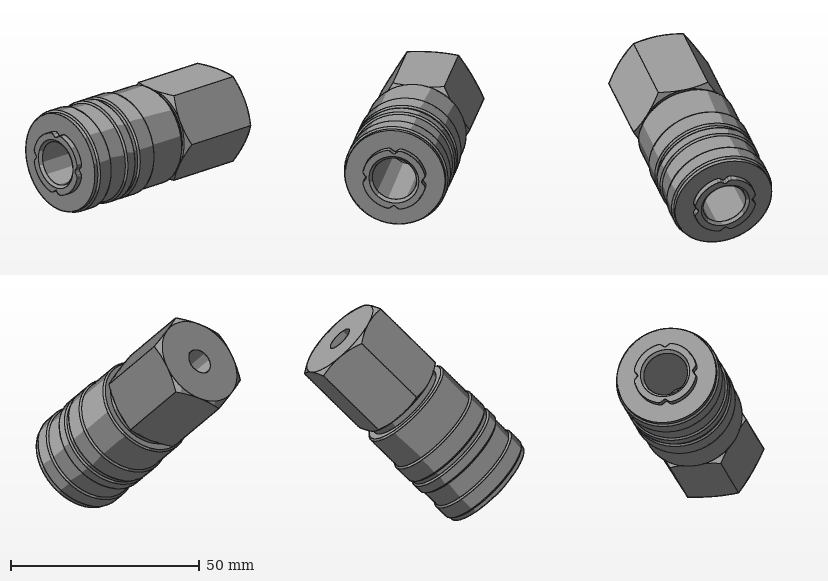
import cadquery as cq
import math

length = 59.0

nose_length = 1.65
sleeve_end = 33.65
sleeve_radius = 13.5
sleeve_chamfer = 0.5
band_diameter = 28.0
band_radius = band_diameter / 2
band_ramp = 0.5
bands = [(2.8, 7.6), (12.75, 16.2), (17.2, 23.1)]

neck_radius = 11.3
hex_sides = 6
hex_start = 35.45
hex_across_flats = 24.0
hex_chamfer_angle = 30.0

nose_radius = 8.55
notch_count = 4
notch_floor_radius = 7.4
notch_slope = 38.0
notch_corner_radius = 1.05
notch_root_radius = 0.5

bore_radius = 5.95
bore_depth = 24.8
bore_chamfer = 0.75
through_radius = 3.5


def turned(points):
    """Revolve a closed outline of (radius, station) points about the part axis."""
    front = -length / 2
    outline = cq.Workplane("XY").polyline([(r, front + s) for r, s in points]).close()
    return outline.revolve(360, (0, 0, 0), (0, 1, 0))


def cross_plane(station):
    """Workplane across the axis at a station, with its normal toward +Y."""
    return cq.Workplane(
        cq.Plane(origin=(0, station - length / 2, 0), xDir=(1, 0, 0), normal=(0, 1, 0))
    )


def axis_distance(edge):
    """Distance from the part axis to the middle of an edge."""
    return math.hypot(edge.Center().x, edge.Center().z)


def make_sleeve():
    points = [(0, nose_length), (sleeve_radius, nose_length)]
    for start, end in bands:
        points += [
            (sleeve_radius, start),
            (band_radius, start + band_ramp),
            (band_radius, end - band_ramp),
            (sleeve_radius, end),
        ]
    points += [
        (sleeve_radius, sleeve_end - sleeve_chamfer),
        (sleeve_radius - sleeve_chamfer, sleeve_end),
        (neck_radius, sleeve_end),
        (neck_radius, hex_start),
        (0, hex_start),
    ]
    return turned(points)


def make_hexagon():
    corner_radius = hex_across_flats / 2 / math.cos(math.pi / hex_sides)
    flat_radius = hex_across_flats / 2
    prism = cross_plane(hex_start).polygon(hex_sides, 2 * corner_radius).extrude(length - hex_start)
    chamfer_length = (corner_radius - flat_radius) * math.tan(math.radians(hex_chamfer_angle))
    envelope = turned([
        (0, hex_start),
        (flat_radius, hex_start),
        (corner_radius, hex_start + chamfer_length),
        (corner_radius, length - chamfer_length),
        (flat_radius, length),
        (0, length),
    ])
    return prism.intersect(envelope)


def make_nose():
    nose = cross_plane(0).circle(nose_radius).extrude(nose_length)
    cutter_height = nose_radius
    half_width = cutter_height / math.tan(math.radians(notch_slope))
    cutter = (
        cross_plane(0)
        .polyline([
            (notch_floor_radius, 0),
            (notch_floor_radius + cutter_height, half_width),
            (notch_floor_radius + cutter_height, -half_width),
        ])
        .close()
        .extrude(nose_length)
    )
    for i in range(notch_count):
        nose = nose.cut(cutter.rotate((0, 0, 0), (0, 1, 0), i * 360 / notch_count))

    middle_radius = (notch_floor_radius + nose_radius) / 2
    corners = [edge for edge in nose.edges("|Y").vals() if axis_distance(edge) > middle_radius]
    nose = nose.newObject(corners).fillet(notch_corner_radius)
    root_limit = notch_floor_radius + notch_root_radius
    roots = [edge for edge in nose.edges("|Y").vals() if axis_distance(edge) < root_limit]
    return nose.newObject(roots).fillet(notch_root_radius)


def make_bore():
    return turned([
        (0, 0),
        (bore_radius + bore_chamfer, 0),
        (bore_radius, bore_chamfer),
        (bore_radius, bore_depth),
        (through_radius, bore_depth),
        (through_radius, length),
        (0, length),
    ])


result = make_sleeve().union(make_hexagon()).union(make_nose()).cut(make_bore())